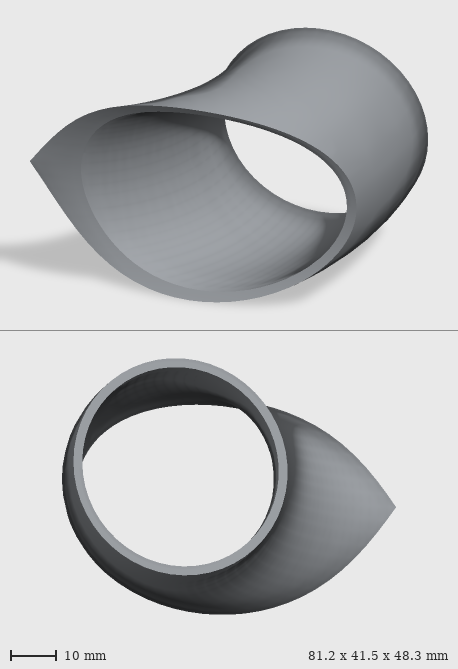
import cadquery as cq

pipe_diameter = 48.3
wall_thickness = 2.0
bend_radius = 57.0
bend_angle = 90.0
header_diameter = 76.1

pipe_radius = pipe_diameter / 2
bore_radius = pipe_radius - wall_thickness
header_radius = header_diameter / 2

throat_radius = bend_radius - pipe_radius
header_axis_y = -(throat_radius + header_radius)

header_overrun = 10.0
header_length = bend_radius + pipe_radius + 2 * header_overrun


def make_bend(section_radius):
    """Solid round bar bent about the Z axis, from the plane Y = 0 toward -Y."""
    return (
        cq.Workplane("XZ")
        .center(bend_radius, 0)
        .circle(section_radius)
        .revolve(bend_angle, (-bend_radius, 0, 0), (-bend_radius, -1, 0))
    )


def make_header():
    """Solid header pipe running along X, with its seam line kept clear of the elbow."""
    return (
        cq.Workplane("ZY", origin=(-header_overrun, 0, 0))
        .center(0, header_axis_y)
        .circle(header_radius)
        .extrude(-header_length)
    )


header = make_header()
outer_body = make_bend(pipe_radius).cut(header)
bore = make_bend(bore_radius)
result = outer_body.cut(bore).solids()